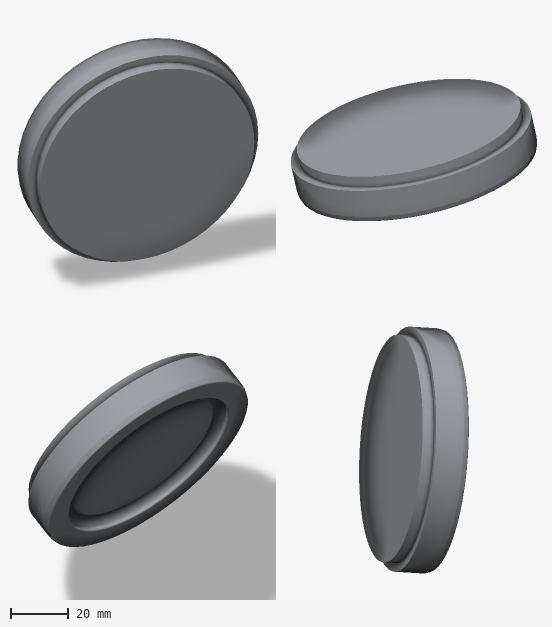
import cadquery as cq
import math

rim_radius = 84.9 / 2
spigot_radius = 79.0 / 2
rim_thickness = 12.0
spigot_length = 4.0

taper_length = 2.0
taper_angle = 15.0
taper_drop = taper_length * math.tan(math.radians(taper_angle))
rim_edge_round = 0.5

floor_depth = 3.5
groove_ring_radius = 31.4
groove_section_radius = 2.5
groove_depth = 4.5
lip_round = 0.5
floor_edge_round = 1.0

section_centre_depth = groove_depth - groove_section_radius


def groove_half_width(depth):
    """Half the radial width of the groove section at a depth below the front face."""
    return math.sqrt(groove_section_radius**2 - (depth - section_centre_depth) ** 2)


lip_radius = groove_ring_radius + groove_half_width(0)
floor_radius = groove_ring_radius - groove_half_width(floor_depth)


def turn(outline):
    """Close a half section (X axial, Y radial) and revolve it about the X axis."""
    return outline.close().revolve(360, (0, 0, 0), (1, 0, 0))


def disc_body():
    """Solid disc: tapered and rounded rim with the smaller spigot behind it."""
    body_length = rim_thickness + spigot_length
    outline = (
        cq.Workplane("XY")
        .lineTo(0, rim_radius - taper_drop)
        .lineTo(taper_length, rim_radius)
        .lineTo(rim_thickness, rim_radius)
        .lineTo(rim_thickness, spigot_radius)
        .lineTo(body_length, spigot_radius)
        .lineTo(body_length, 0)
    )
    return turn(outline).edges("<X").fillet(rim_edge_round)


def front_recess():
    """Recess volume: flat floor in the middle, groove arc around it."""
    outline = (
        cq.Workplane("XY")
        .lineTo(floor_depth, 0)
        .lineTo(floor_depth, floor_radius)
        .threePointArc((groove_depth, groove_ring_radius), (0, lip_radius))
    )
    return turn(outline)


def round_circle(part, depth, radius, fillet_radius):
    """Round the circular edge of the given radius lying at a depth below the front face."""
    tolerance = 0.01
    reach = radius + tolerance
    thin_box = cq.selectors.BoxSelector(
        (depth - tolerance, -reach, -reach),
        (depth + tolerance, reach, reach),
        boundingbox=True,
    )
    return part.edges(thin_box).fillet(fillet_radius)


part = disc_body().cut(front_recess())
part = round_circle(part, floor_depth, floor_radius, floor_edge_round)
result = round_circle(part, 0, lip_radius, lip_round)